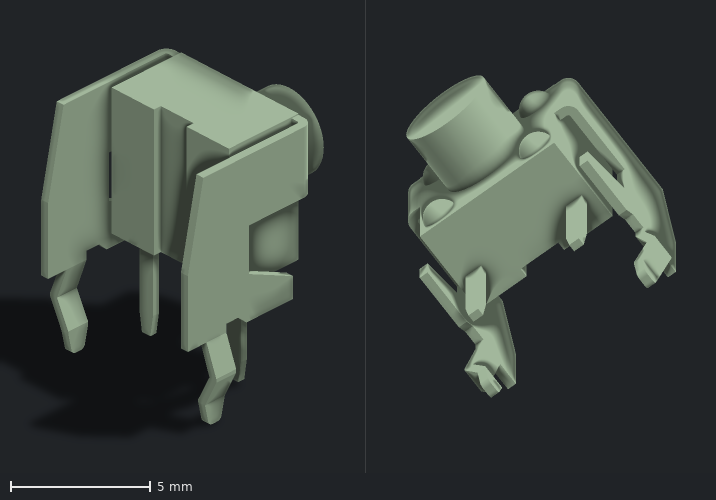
import cadquery as cq


body_width = 6.0
body_top = 3.0
body_bottom = -3.1
body_back = -3.5
back_slot_width = 1.68
back_slot_depth = 0.35

button_diameter = 3.5
button_length = 2.5
dome_offset = 2.15
dome_height = 0.5
dome_base_radius = 0.67

sheet = 0.35
bracket_width = 7.5
bend_inner_radius = 0.1
bracket_top = 2.95
bridge_bottom = 0.0
bracket_back = -6.3
bracket_bottom = -4.0
slope_top_y = -5.52
slope_bottom_z = -0.83
window_back = -3.23
window_back_bottom = -2.03
foot_front = -1.0
foot_front_top = -3.05
relief_front = -3.35
relief_top = -3.63
relief_chamfer = relief_top - bracket_bottom

leg_front = -4.36
leg_width = 1.0
leg_peak_x = 4.25
leg_peak_inner_x = 3.9
leg_peak_flat_top = -5.31
leg_peak_flat_bottom = -5.47
leg_peak_inner_z = -5.39
leg_tip_start = -6.66
leg_tip_inner_start = -6.56
leg_tip_outer_x = 3.67
leg_bottom = -7.59
leg_tip_width = 0.6
leg_tip_radius = 0.21

pin_offset = 2.25
pin_width = 0.7
pin_tip_width = 0.43
pin_front = -2.2
pin_thickness = 0.3
pin_taper_start = -6.5
pin_bottom = -7.4

half_bracket = bracket_width / 2
half_bracket_inner = half_bracket - sheet


def box(x_range, y_range, z_range):
    """Axis-aligned box between the given (low, high) limits."""
    size = [high - low for low, high in (x_range, y_range, z_range)]
    low_corner = (x_range[0], y_range[0], z_range[0])
    return cq.Workplane("XY").box(*size, centered=False).translate(low_corner)


def make_body():
    half = body_width / 2
    heights = (body_bottom, body_top)
    block = box((-half, half), (body_back, 0), heights)
    half_slot = back_slot_width / 2
    slot = box((-half_slot, half_slot), (body_back, body_back + back_slot_depth), heights)
    return block.cut(slot)


def make_button():
    return (
        cq.Workplane("XZ", origin=(0, -sheet, 0))
        .circle(button_diameter / 2)
        .extrude(-(button_length + sheet))
    )


def make_dome(x, z):
    """Spherical cap with its base circle on the front face."""
    radius = (dome_base_radius**2 + dome_height**2) / (2 * dome_height)
    sphere = cq.Workplane("XY").sphere(radius).translate((x, dome_height - radius, z))
    keep = box((x - radius, x + radius), (-sheet, dome_height), (z - radius, z + radius))
    return sphere.intersect(keep)


def make_bracket():
    """U-shaped sheet whose side walls are trimmed to their outline."""
    outer = (
        box((-half_bracket, half_bracket), (bracket_back, 0), (bracket_bottom, bracket_top))
        .edges("|Z and >Y")
        .fillet(bend_inner_radius + sheet)
    )
    inner = (
        box(
            (-half_bracket_inner, half_bracket_inner),
            (bracket_back, -sheet),
            (bracket_bottom, bracket_top),
        )
        .edges("|Z and >Y")
        .fillet(bend_inner_radius)
    )
    side_outline = [
        (0, bracket_top),
        (slope_top_y, bracket_top),
        (bracket_back, slope_bottom_z),
        (bracket_back, bracket_bottom),
        (leg_front, bracket_bottom),
        (leg_front, relief_top),
        (relief_front - relief_chamfer, relief_top),
        (relief_front, bracket_bottom),
        (foot_front, bracket_bottom),
        (foot_front, foot_front_top),
        (window_back, window_back_bottom),
        (window_back, bridge_bottom),
        (0, bridge_bottom),
    ]
    trim = (
        cq.Workplane("YZ")
        .polyline(side_outline)
        .close()
        .extrude(half_bracket, both=True)
    )
    return outer.cut(inner).intersect(trim)


def make_leg():
    """Kinked snap-in leg on the +X side, with a tapered round-cornered tip."""
    leg_back = leg_front - leg_width
    leg_middle = (leg_front + leg_back) / 2
    half_tip = leg_tip_width / 2
    kinked_strip = (
        cq.Workplane("XZ", origin=(0, leg_front, 0))
        .polyline(
            [
                (half_bracket, bracket_bottom),
                (leg_peak_x, leg_peak_flat_top),
                (leg_peak_x, leg_peak_flat_bottom),
                (leg_tip_outer_x, leg_tip_start),
                (leg_tip_outer_x, leg_bottom),
                (leg_tip_outer_x - sheet, leg_bottom),
                (leg_tip_outer_x - sheet, leg_tip_inner_start),
                (leg_peak_inner_x, leg_peak_inner_z),
                (half_bracket_inner, bracket_bottom),
            ]
        )
        .close()
        .extrude(leg_width)
    )
    tapered_outline = (
        cq.Workplane("YZ")
        .polyline(
            [
                (leg_front, bracket_bottom),
                (leg_front, leg_tip_start),
                (leg_middle + half_tip, leg_bottom),
                (leg_middle - half_tip, leg_bottom),
                (leg_back, leg_tip_start),
                (leg_back, bracket_bottom),
            ]
        )
        .close()
        .extrude(leg_peak_x)
        .edges("|X and <Z")
        .fillet(leg_tip_radius)
    )
    return kinked_strip.intersect(tapered_outline)


def make_pin(x):
    half = pin_width / 2
    half_tip = pin_tip_width / 2
    return (
        cq.Workplane("XZ", origin=(x, pin_front, 0))
        .polyline(
            [
                (-half, body_bottom),
                (-half, pin_taper_start),
                (-half_tip, pin_bottom),
                (half_tip, pin_bottom),
                (half, pin_taper_start),
                (half, body_bottom),
            ]
        )
        .close()
        .extrude(pin_thickness)
    )


result = make_body().union(make_bracket()).union(make_button())

for x in (-dome_offset, dome_offset):
    for z in (-dome_offset, dome_offset):
        result = result.union(make_dome(x, z))

leg = make_leg()
result = result.union(leg).union(leg.mirror("YZ"))

for x in (-pin_offset, pin_offset):
    result = result.union(make_pin(x))